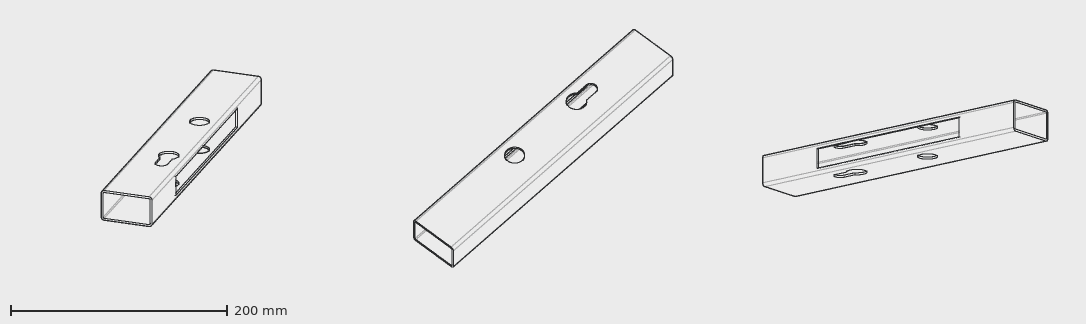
import cadquery as cq

WIDTH = 50.0
LENGTH = 300.0
HEIGHT = 30.0
WALL = 2.0
OUTER_RADIUS = 3.0
INNER_RADIUS = OUTER_RADIUS - WALL

LOCK_LINE_X = 6.5
HANDLE_HOLE_DIAMETER = 18.5
HANDLE_HOLE_Y = 32.0
HANDLE_TO_CYLINDER = 84.5
CYLINDER_Y = HANDLE_HOLE_Y - HANDLE_TO_CYLINDER
CYLINDER_DIAMETER = 19.0
CYLINDER_SLOT_WIDTH = 12.0
CYLINDER_SLOT_REACH = 19.8

CASE_OPENING_LENGTH = 170.0
CASE_OPENING_HEIGHT = 19.0


def rounded_bar(width, height, radius):
    """Bar along Y with its four long edges rounded."""
    return cq.Workplane("XY").box(width, LENGTH, height).edges("|Y").fillet(radius)


def round_cutter(diameter, y):
    """Vertical cylinder on the lock line, as tall as the tube."""
    return (
        cq.Workplane("XY", origin=(LOCK_LINE_X, y, 0))
        .circle(diameter / 2)
        .extrude(HEIGHT / 2, both=True)
    )


def profile_cylinder_cutter():
    """Keyhole shape: a round hole with a narrower round-ended slot towards -Y."""
    slot_end_y = CYLINDER_Y - CYLINDER_SLOT_REACH
    slot_middle_y = (CYLINDER_Y + slot_end_y) / 2
    slot = (
        cq.Workplane("XY", origin=(LOCK_LINE_X, slot_middle_y, 0))
        .rect(CYLINDER_SLOT_WIDTH, CYLINDER_SLOT_REACH)
        .extrude(HEIGHT / 2, both=True)
    )
    slot_end = round_cutter(CYLINDER_SLOT_WIDTH, slot_end_y)
    return round_cutter(CYLINDER_DIAMETER, CYLINDER_Y).union(slot).union(slot_end)


def lock_case_cutter():
    """Rectangular block that opens the +X wall only."""
    wall_centre_x = (WIDTH - WALL) / 2
    return (
        cq.Workplane("XY")
        .box(WALL, CASE_OPENING_LENGTH, CASE_OPENING_HEIGHT)
        .translate((wall_centre_x, 0, 0))
    )


outside = rounded_bar(WIDTH, HEIGHT, OUTER_RADIUS)
inside = rounded_bar(WIDTH - 2 * WALL, HEIGHT - 2 * WALL, INNER_RADIUS)
tube = outside.cut(inside)

handle_hole = round_cutter(HANDLE_HOLE_DIAMETER, HANDLE_HOLE_Y)
result = tube.cut(handle_hole).cut(profile_cylinder_cutter()).cut(lock_case_cutter())